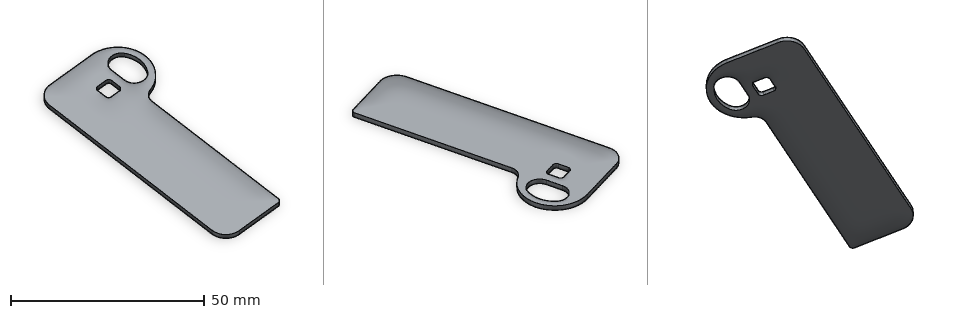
import cadquery as cq
import math

length = 70.5
overall_width = 29.75
body_width = 20.0
thickness = 1.5
bottom_corner_radius = 5.0
top_corner_radius = 1.0

lug_radius = 9.8
lug_y = overall_width - lug_radius
lug_blend_radius = 3.4

lug_rim = 2.0
opening_radius = lug_radius - lug_rim
opening_corner_radius = 3.5

window_size = 5.0
window_corner_radius = 1.0
window_x = 11.5
window_y = 15.0


def plate_outline():
    """Body and lug in one closed outline; the lug blends into the top edge."""
    centre_distance = lug_radius + lug_blend_radius
    blend_y = body_width + lug_blend_radius
    blend_rise = blend_y - lug_y
    blend_offset = math.sqrt(centre_distance**2 - blend_rise**2)
    blend_x = lug_radius + blend_offset
    lug_share = lug_radius / centre_distance
    tangent_x = lug_radius + blend_offset * lug_share
    tangent_y = lug_y + blend_rise * lug_share
    start_angle = math.pi + math.atan2(blend_rise, blend_offset)
    middle_angle = (start_angle + 1.5 * math.pi) / 2
    blend_middle = (
        blend_x + lug_blend_radius * math.cos(middle_angle),
        blend_y + lug_blend_radius * math.sin(middle_angle),
    )
    return (
        cq.Workplane("XY")
        .moveTo(0, 0)
        .lineTo(0, lug_y)
        .threePointArc((lug_radius, overall_width), (tangent_x, tangent_y))
        .threePointArc(blend_middle, (blend_x, body_width))
        .lineTo(length, body_width)
        .lineTo(length, 0)
        .close()
    )


def make_plate():
    plate = plate_outline().extrude(thickness)
    plate = plate.edges("|Z and <Y").fillet(bottom_corner_radius)
    top_corner = cq.selectors.NearestToPointSelector((length, body_width, thickness / 2))
    return plate.edges("|Z").edges(top_corner).fillet(top_corner_radius)


def finger_opening():
    flat_rise = body_width - lug_y
    half_flat = math.sqrt(opening_radius**2 - flat_rise**2)
    segment = (
        cq.Workplane("XY")
        .moveTo(lug_radius - half_flat, body_width)
        .threePointArc(
            (lug_radius, lug_y + opening_radius),
            (lug_radius + half_flat, body_width),
        )
        .close()
        .extrude(thickness)
    )
    return segment.edges("|Z").fillet(opening_corner_radius)


def square_window():
    window = (
        cq.Workplane("XY")
        .center(window_x, window_y)
        .rect(window_size, window_size)
        .extrude(thickness)
    )
    return window.edges("|Z").fillet(window_corner_radius)


result = make_plate().cut(finger_opening()).cut(square_window())